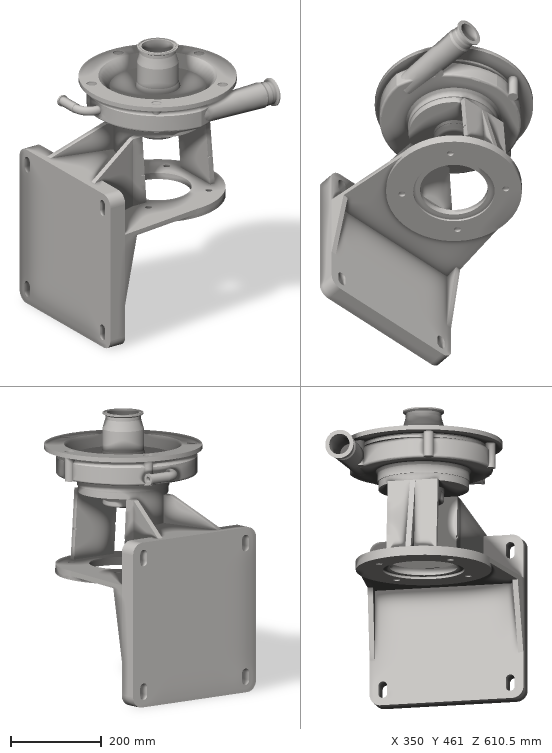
import cadquery as cq
import math


INLET_TOP = 610.5
LID_TOP = 539.5
LID_THICKNESS = 10.0
LID_BOTTOM = LID_TOP - LID_THICKNESS
CASING_TOP = 520.0
CASING_BOTTOM = 473.5
OUTLET_Z = 497.0
HUB_BOTTOM = 433.0
COVER_BOTTOM = 403.0
FOOT_TOP = 271.5
WALL_PLATE_HEIGHT = 370.0

LID_RADIUS = 175.0
DISH_RIM_RADIUS = 131.0
DISH_RIM_CHAMFER = 2.0
DISH_FLOOR_RADIUS = 106.5
DISH_DEPTH = 24.0
LID_SPIGOT_RADIUS = 139.0
SEAL_RING_RADIUS = 143.0
SEAL_RING_TOP = 525.8
STUD_COUNT = 5
STUD_CIRCLE_RADIUS = 152.0
STUD_RADIUS = 11.0
STUD_RECESS_RADIUS = 11.5
STUD_RECESS_DEPTH = 2.0

INLET_RADIUS = 46.0
INLET_FLANGE_RADIUS = 45.5
INLET_NECK_RADIUS = 39.5
INLET_WALL = 4.0
INLET_GROOVE_INNER_RADIUS = 40.0
INLET_GROOVE_OUTER_RADIUS = 42.5
INLET_GROOVE_DEPTH = 1.5
INLET_FLANGE_EDGE = 3.0
INLET_FLANGE_HEIGHT = 6.5
INLET_NECK_BOTTOM = INLET_TOP - 14.0
INLET_CONE_BOTTOM = INLET_TOP - 36.5
INLET_FLARE_WIDTH = 4.0
INLET_FLARE_HEIGHT = 11.0

VOLUTE_START_RADIUS = 144.0
VOLUTE_GROWTH_PER_TURN = 32.0
VOLUTE_QUARTERS = 3
QUARTER_TURN = math.pi / 2
CASING_TOP_CHAMFER = 6.5
CASING_BOTTOM_FILLET = 5.0

HUB_FLARE_RADIUS = 106.0
HUB_COLLAR_RADIUS = 102.0
HUB_RADIUS = 100.0
HUB_COLLAR_TOP = 467.5
HUB_COLLAR_BOTTOM = 449.0
COVER_RADIUS = 46.0
COVER_TIP_RADIUS = 45.3
COVER_TIP_TOP = 423.5
COVER_EDGE_FILLET = 5.0

OUTLET_X = 139.5
OUTLET_END_Y = 211.0
OUTLET_FLANGE_RADIUS = 32.0
OUTLET_FLANGE_EDGE = 3.0
OUTLET_FLANGE_HEIGHT = 6.0
OUTLET_FERRULE_RADIUS = 26.0
OUTLET_FERRULE_START_Y = 198.0
OUTLET_NECK_RADIUS = 27.0
OUTLET_NECK_TIP_Y = 194.0
OUTLET_NECK_END_Y = 184.0
OUTLET_SHOULDER_RADIUS = 29.3
OUTLET_SHOULDER_Y = 179.0
OUTLET_ROOT_RADIUS = 25.0
OUTLET_BORE_RADIUS = 23.0
OUTLET_BORE_DEPTH = 100.0

DRAIN_RADIUS = 10.0
DRAIN_SLEEVE_RADIUS = 11.0
DRAIN_FLANGE_RADIUS = 13.0
DRAIN_FLANGE_THICKNESS = 4.5
DRAIN_BEND_RADIUS = 34.0
DRAIN_Y = -196.0
DRAIN_END_X = -88.5
DRAIN_BORE_RADIUS = 6.5

WALL_PLATE_WIDTH = 350.0
WALL_PLATE_FRONT_Y = -250.0
WALL_PLATE_THICKNESS = 40.0
WALL_PLATE_BACK_Y = WALL_PLATE_FRONT_Y + WALL_PLATE_THICKNESS
WALL_PLATE_CORNER = 25.0
SLOT_SPACING_X = 290.0
SLOT_SPACING_Z = 300.0
SLOT_WIDTH = 20.0
SLOT_LENGTH = 37.0

FOOT_RADIUS = 150.0
FOOT_THICKNESS = 20.5
SHELF_THICKNESS = 11.5
FOOT_BORE_RADIUS = 75.0
FOOT_COUNTERBORE_RADIUS = 90.0
FOOT_COUNTERBORE_DEPTH = 5.5
FOOT_HOLE_COUNT = 4
FOOT_HOLE_START_ANGLE = 45.0
FOOT_HOLE_CIRCLE_RADIUS = 115.0
FOOT_HOLE_RADIUS = 7.5

LEG_HALF_WIDTH = 57.0
FRONT_LEG_INNER_TOP_Y = -81.0
FRONT_LEG_INNER_BOTTOM_Y = -70.0
FRONT_LEG_CORNER_Y = -107.0
BACK_LEG_TOP_Y = 88.7
BACK_LEG_BOTTOM_Y = 101.7
BACK_LEG_THICKNESS = 12.0
BACK_RIB_FOOT_Y = 143.5
RIB_THICKNESS = 12.0
FIN_ANGLE = 15.0
FIN_TIP_Y = -234.0
NOTCH_Z = 340.5
NOTCH_HEIGHT = 5.0
NOTCH_LENGTH = 9.0
NOTCH_DEPTH = 2.0
UNDER_RIB_START_Y = -175.0
UNDER_RIB_BOTTOM = 102.5


def revolve_profile(points):
    """Turn a closed (radius, height) outline around the Z axis."""
    return cq.Workplane("XZ").polyline(points).close().revolve(360, (0, 0, 0), (0, 1, 0))


def cylinder(radius, bottom, top):
    return cq.Workplane("XY").workplane(offset=bottom).circle(radius).extrude(top - bottom)


def side_plate(points, x_start, thickness):
    """Extrude a (y, z) outline along +X from x_start."""
    return cq.Workplane("YZ").workplane(offset=x_start).polyline(points).close().extrude(thickness)


def stud_points():
    step = 2 * math.pi / STUD_COUNT
    angles = [math.pi + i * step for i in range(STUD_COUNT)]
    return [(STUD_CIRCLE_RADIUS * math.cos(a), STUD_CIRCLE_RADIUS * math.sin(a)) for a in angles]


def make_lid():
    lid = cylinder(LID_RADIUS, LID_BOTTOM, LID_TOP)
    lid = lid.union(cylinder(LID_SPIGOT_RADIUS, SEAL_RING_TOP, LID_BOTTOM))
    return lid.union(cylinder(SEAL_RING_RADIUS, CASING_TOP, SEAL_RING_TOP))


def make_dish_cut():
    floor = LID_TOP - DISH_DEPTH
    return revolve_profile([
        (0, floor),
        (DISH_FLOOR_RADIUS, floor),
        (DISH_RIM_RADIUS - DISH_RIM_CHAMFER, LID_TOP - DISH_RIM_CHAMFER),
        (DISH_RIM_RADIUS, LID_TOP),
        (0, LID_TOP),
    ])


def make_studs():
    studs = cq.Workplane("XY").workplane(offset=CASING_BOTTOM).pushPoints(stud_points())
    return studs.circle(STUD_RADIUS).extrude(LID_BOTTOM - CASING_BOTTOM)


def make_stud_recesses():
    recesses = cq.Workplane("XY").workplane(offset=LID_TOP).pushPoints(stud_points())
    return recesses.circle(STUD_RECESS_RADIUS).extrude(-STUD_RECESS_DEPTH)


def volute_point(turn):
    """Point on the casing outline after turning by `turn` radians from +Y."""
    radius = VOLUTE_START_RADIUS + VOLUTE_GROWTH_PER_TURN * turn / (2 * math.pi)
    angle = math.pi / 2 + turn
    return (radius * math.cos(angle), radius * math.sin(angle))


def make_casing():
    outline = cq.Workplane("XY").workplane(offset=CASING_BOTTOM).moveTo(*volute_point(0))
    for quarter in range(VOLUTE_QUARTERS):
        middle = volute_point((quarter + 0.5) * QUARTER_TURN)
        outline = outline.threePointArc(middle, volute_point((quarter + 1) * QUARTER_TURN))
    corner = VOLUTE_START_RADIUS * math.sqrt(0.5)
    outline = outline.threePointArc((corner, corner), volute_point(0)).close()
    casing = outline.extrude(CASING_TOP - CASING_BOTTOM)
    casing = casing.faces(">Z").edges().chamfer(CASING_TOP_CHAMFER)
    return casing.faces("<Z").edges().fillet(CASING_BOTTOM_FILLET)


def make_hub():
    hub = revolve_profile([
        (0, CASING_BOTTOM),
        (HUB_FLARE_RADIUS, CASING_BOTTOM),
        (HUB_COLLAR_RADIUS, HUB_COLLAR_TOP),
        (HUB_COLLAR_RADIUS, HUB_COLLAR_BOTTOM),
        (HUB_RADIUS, HUB_COLLAR_BOTTOM),
        (HUB_RADIUS, HUB_BOTTOM),
        (0, HUB_BOTTOM),
    ])
    cover_tip = cylinder(COVER_TIP_RADIUS, COVER_BOTTOM, COVER_TIP_TOP)
    cover_tip = cover_tip.faces("<Z").edges().fillet(COVER_EDGE_FILLET)
    return hub.union(cylinder(COVER_RADIUS, COVER_TIP_TOP, HUB_BOTTOM)).union(cover_tip)


def make_inlet():
    floor = LID_TOP - DISH_DEPTH
    return revolve_profile([
        (0, floor),
        (INLET_RADIUS + INLET_FLARE_WIDTH, floor),
        (INLET_RADIUS, floor + INLET_FLARE_HEIGHT),
        (INLET_RADIUS, INLET_CONE_BOTTOM),
        (INLET_NECK_RADIUS, INLET_NECK_BOTTOM),
        (INLET_NECK_RADIUS, INLET_TOP - INLET_FLANGE_HEIGHT),
        (INLET_FLANGE_RADIUS, INLET_TOP - INLET_FLANGE_EDGE),
        (INLET_FLANGE_RADIUS, INLET_TOP),
        (0, INLET_TOP),
    ])


def make_inlet_bore():
    """Passage that widens below the neck, plus the gasket groove in the flange face."""
    floor = LID_TOP - DISH_DEPTH
    passage = revolve_profile([
        (0, floor),
        (INLET_RADIUS - INLET_WALL, floor),
        (INLET_RADIUS - INLET_WALL, INLET_CONE_BOTTOM),
        (INLET_NECK_RADIUS - INLET_WALL, INLET_CONE_BOTTOM),
        (INLET_NECK_RADIUS - INLET_WALL, INLET_TOP),
        (0, INLET_TOP),
    ])
    groove = cylinder(INLET_GROOVE_OUTER_RADIUS, INLET_TOP - INLET_GROOVE_DEPTH, INLET_TOP)
    core = cylinder(INLET_GROOVE_INNER_RADIUS, INLET_TOP - INLET_GROOVE_DEPTH, INLET_TOP)
    return passage.union(groove.cut(core))


def make_outlet():
    outlet = revolve_profile([
        (0, 0),
        (OUTLET_ROOT_RADIUS, 0),
        (OUTLET_SHOULDER_RADIUS, OUTLET_SHOULDER_Y),
        (OUTLET_NECK_RADIUS, OUTLET_NECK_END_Y),
        (OUTLET_NECK_RADIUS, OUTLET_NECK_TIP_Y),
        (OUTLET_FERRULE_RADIUS, OUTLET_FERRULE_START_Y),
        (OUTLET_FERRULE_RADIUS, OUTLET_END_Y - OUTLET_FLANGE_HEIGHT),
        (OUTLET_FLANGE_RADIUS, OUTLET_END_Y - OUTLET_FLANGE_EDGE),
        (OUTLET_FLANGE_RADIUS, OUTLET_END_Y),
        (0, OUTLET_END_Y),
    ])
    return outlet.rotate((0, 0, 0), (1, 0, 0), -90).translate((OUTLET_X, 0, OUTLET_Z))


def make_outlet_bore():
    bore = cq.Workplane("XZ", origin=(OUTLET_X, OUTLET_END_Y, OUTLET_Z))
    return bore.circle(OUTLET_BORE_RADIUS).extrude(OUTLET_BORE_DEPTH)


def drain_rod(radius, length):
    """Straight round bar starting at the drain's open end and running along +X."""
    rod = cq.Workplane("YZ", origin=(DRAIN_END_X, DRAIN_Y, OUTLET_Z))
    return rod.circle(radius).extrude(length)


def make_drain():
    sleeve_length = -DRAIN_BEND_RADIUS - DRAIN_END_X
    bend_end_y = DRAIN_Y + DRAIN_BEND_RADIUS
    bend = cq.Workplane("XZ", origin=(0, bend_end_y, OUTLET_Z)).circle(DRAIN_RADIUS)
    bend = bend.revolve(90, (-DRAIN_BEND_RADIUS, 1, 0), (-DRAIN_BEND_RADIUS, 0, 0))
    root = cq.Workplane("XZ", origin=(0, -HUB_RADIUS, OUTLET_Z)).circle(DRAIN_RADIUS)
    root = root.extrude(-bend_end_y - HUB_RADIUS)
    drain = root.union(bend).union(drain_rod(DRAIN_SLEEVE_RADIUS, sleeve_length))
    drain = drain.union(drain_rod(DRAIN_FLANGE_RADIUS, DRAIN_FLANGE_THICKNESS))
    return drain.cut(drain_rod(DRAIN_BORE_RADIUS, sleeve_length))


def make_wall_plate():
    center_z = WALL_PLATE_HEIGHT / 2
    face = cq.Workplane("XZ", origin=(0, WALL_PLATE_BACK_Y, center_z))
    plate = face.rect(WALL_PLATE_WIDTH, WALL_PLATE_HEIGHT).extrude(WALL_PLATE_THICKNESS)
    plate = plate.edges("|Y").fillet(WALL_PLATE_CORNER)
    slots = face.rect(SLOT_SPACING_X, SLOT_SPACING_Z, forConstruction=True).vertices()
    return plate.cut(slots.slot2D(SLOT_LENGTH, SLOT_WIDTH, 90).extrude(WALL_PLATE_THICKNESS))


def make_foot():
    foot_bottom = FOOT_TOP - FOOT_THICKNESS
    half_width = WALL_PLATE_WIDTH / 2
    shelf = cq.Workplane("XY").workplane(offset=FOOT_TOP - SHELF_THICKNESS).polyline([
        (-FOOT_RADIUS, 0),
        (-half_width, WALL_PLATE_BACK_Y),
        (half_width, WALL_PLATE_BACK_Y),
        (FOOT_RADIUS, 0),
    ]).close().extrude(SHELF_THICKNESS)
    foot = cylinder(FOOT_RADIUS, foot_bottom, FOOT_TOP).union(shelf)
    foot = foot.cut(cylinder(FOOT_BORE_RADIUS, foot_bottom, FOOT_TOP))
    foot = foot.cut(cylinder(FOOT_COUNTERBORE_RADIUS, foot_bottom, foot_bottom + FOOT_COUNTERBORE_DEPTH))
    holes = cq.Workplane("XY").workplane(offset=foot_bottom)
    holes = holes.polarArray(FOOT_HOLE_CIRCLE_RADIUS, FOOT_HOLE_START_ANGLE, 360, FOOT_HOLE_COUNT)
    return foot.cut(holes.circle(FOOT_HOLE_RADIUS).extrude(FOOT_THICKNESS))


def make_under_ribs():
    """Pair of triangular ribs below the shelf, flush with its slanted sides."""
    half_width = WALL_PLATE_WIDTH / 2
    shelf_bottom = FOOT_TOP - SHELF_THICKNESS
    side_slope = (half_width - FOOT_RADIUS) / -WALL_PLATE_BACK_Y
    start_half_width = FOOT_RADIUS - side_slope * UNDER_RIB_START_Y
    wedge = side_plate([
        (UNDER_RIB_START_Y, shelf_bottom),
        (WALL_PLATE_BACK_Y, shelf_bottom),
        (WALL_PLATE_BACK_Y, UNDER_RIB_BOTTOM),
    ], -half_width, WALL_PLATE_WIDTH)
    strip = cq.Workplane("XY").polyline([
        (-start_half_width, UNDER_RIB_START_Y),
        (-half_width, WALL_PLATE_BACK_Y),
        (-half_width + RIB_THICKNESS, WALL_PLATE_BACK_Y),
        (-start_half_width + RIB_THICKNESS, UNDER_RIB_START_Y),
    ]).close().extrude(shelf_bottom)
    rib = wedge.intersect(strip)
    return rib.union(rib.mirror("YZ"))


def make_front_leg():
    """Leg block, the low block behind the wall plate and the two slanted fins."""
    fin_slope = math.tan(math.radians(FIN_ANGLE))
    fin_width = RIB_THICKNESS / math.cos(math.radians(FIN_ANGLE))
    tip_x = LEG_HALF_WIDTH + (FRONT_LEG_CORNER_Y - FIN_TIP_Y) * fin_slope
    inner_corner_x = LEG_HALF_WIDTH - fin_width

    profile = side_plate([
        (FRONT_LEG_INNER_TOP_Y, HUB_BOTTOM),
        (FRONT_LEG_CORNER_Y, HUB_BOTTOM),
        (FIN_TIP_Y, WALL_PLATE_HEIGHT),
        (FIN_TIP_Y, FOOT_TOP),
        (FRONT_LEG_INNER_BOTTOM_Y, FOOT_TOP),
    ], -tip_x, 2 * tip_x)
    plan = cq.Workplane("XY").workplane(offset=FOOT_TOP).polyline([
        (-LEG_HALF_WIDTH, 0),
        (-LEG_HALF_WIDTH, FRONT_LEG_CORNER_Y),
        (-tip_x, FIN_TIP_Y),
        (tip_x, FIN_TIP_Y),
        (LEG_HALF_WIDTH, FRONT_LEG_CORNER_Y),
        (LEG_HALF_WIDTH, 0),
    ]).close().extrude(HUB_BOTTOM - FOOT_TOP)
    inner_root_x = inner_corner_x + FRONT_LEG_CORNER_Y * fin_slope
    inner_tip_x = tip_x - fin_width
    between_fins = cq.Workplane("XY").workplane(offset=WALL_PLATE_HEIGHT).polyline([
        (-inner_root_x, 0),
        (-inner_tip_x, FIN_TIP_Y),
        (inner_tip_x, FIN_TIP_Y),
        (inner_root_x, 0),
    ]).close().extrude(HUB_BOTTOM - WALL_PLATE_HEIGHT)
    hollow = between_fins.cut(cylinder(HUB_RADIUS, WALL_PLATE_HEIGHT, HUB_BOTTOM))
    return profile.intersect(plan).cut(hollow)


def make_back_leg():
    leg = side_plate([
        (BACK_LEG_TOP_Y, HUB_BOTTOM),
        (BACK_LEG_TOP_Y + BACK_LEG_THICKNESS, HUB_BOTTOM),
        (BACK_LEG_BOTTOM_Y + BACK_LEG_THICKNESS, FOOT_TOP),
        (BACK_LEG_BOTTOM_Y, FOOT_TOP),
    ], -LEG_HALF_WIDTH, 2 * LEG_HALF_WIDTH)
    rib = side_plate([
        (BACK_LEG_TOP_Y + BACK_LEG_THICKNESS, HUB_BOTTOM),
        (BACK_RIB_FOOT_Y, FOOT_TOP),
        (BACK_LEG_BOTTOM_Y, FOOT_TOP),
    ], -RIB_THICKNESS / 2, RIB_THICKNESS)
    return leg.union(rib)


def leg_inner_y(top_y, bottom_y):
    """Y of a leg's sloping inner face at the notch level."""
    share = (NOTCH_Z - FOOT_TOP) / (HUB_BOTTOM - FOOT_TOP)
    return bottom_y + share * (top_y - bottom_y)


def make_leg_notches():
    """Shallow notches in both side faces of the legs, open to their inner faces."""
    front_y = leg_inner_y(FRONT_LEG_INNER_TOP_Y, FRONT_LEG_INNER_BOTTOM_Y)
    back_y = leg_inner_y(BACK_LEG_TOP_Y, BACK_LEG_BOTTOM_Y)
    points = [
        (side * LEG_HALF_WIDTH, inner_y, NOTCH_Z)
        for side in (-1, 1)
        for inner_y in (front_y, back_y)
    ]
    notches = cq.Workplane("XY").pushPoints(points)
    return notches.box(2 * NOTCH_DEPTH, 2 * NOTCH_LENGTH, NOTCH_HEIGHT)


pump = make_lid().union(make_casing()).union(make_hub()).union(make_studs())
pump = pump.cut(make_dish_cut()).union(make_inlet()).union(make_outlet())
pump = pump.union(make_drain()).cut(make_stud_recesses()).cut(make_outlet_bore())
pump = pump.cut(make_inlet_bore())

bracket = make_wall_plate().union(make_foot()).union(make_under_ribs())
bracket = bracket.union(make_front_leg()).union(make_back_leg()).cut(make_leg_notches())

result = pump.union(bracket)